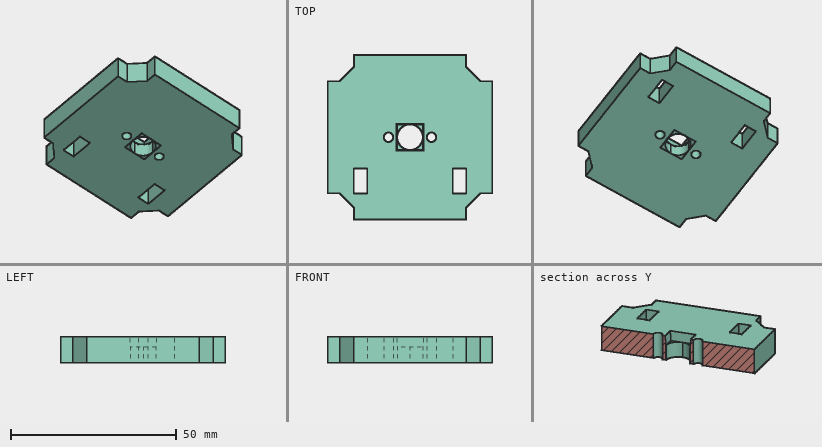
import cadquery as cq
import math

plate_size = 49.8
plate_height = 8.0
half_size = plate_size / 2
side_half_length = 17.0
notch_wall = 3.6
shoulder_end = half_size - notch_wall

pocket_depth = 3.1
pocket_top_side = 8.2
bore_diameter = 7.7
bore_radius = bore_diameter / 2
well_side = bore_diameter
ledge_height = plate_height - pocket_depth

screw_hole_diameter = 2.8
screw_hole_spacing = 13.0

slot_width = 4.0
slot_length = 7.5
slot_x = side_half_length - slot_width / 2
slot_y = -side_half_length + slot_length / 2


def make_plate_blank():
    """Square plate with a shouldered, chamfered notch at each corner."""
    corner = [
        (half_size, side_half_length),
        (shoulder_end, side_half_length),
        (side_half_length, shoulder_end),
        (side_half_length, half_size),
    ]
    outline = []
    for quarter in range(4):
        outline += corner
        corner = [(-y, x) for x, y in corner]
    return cq.Workplane("XY").polyline(outline).close().extrude(plate_height)


def make_center_opening():
    """Straight square well that widens through a tapered pocket at the top."""
    well = cq.Workplane("XY").rect(well_side, well_side).extrude(ledge_height)
    pocket = (
        cq.Workplane("XY", origin=(0, 0, ledge_height))
        .rect(well_side, well_side)
        .workplane(offset=pocket_depth)
        .rect(pocket_top_side, pocket_top_side)
        .loft(ruled=True)
    )
    return well.union(pocket)


def make_screw_holes():
    half_spacing = screw_hole_spacing / 2
    return (
        cq.Workplane("XY")
        .pushPoints([(-half_spacing, 0), (half_spacing, 0)])
        .circle(screw_hole_diameter / 2)
        .extrude(plate_height)
    )


def make_slots():
    return (
        cq.Workplane("XY")
        .pushPoints([(-slot_x, slot_y), (slot_x, slot_y)])
        .rect(slot_width, slot_length)
        .extrude(plate_height)
    )


def make_plate():
    plate = make_plate_blank()
    for cutter in (make_center_opening(), make_screw_holes(), make_slots()):
        plate = plate.cut(cutter)
    return plate


def make_corner_insert(angle):
    """Fills one corner of the square well, leaving a quarter of the round bore."""
    half_well = well_side / 2
    arc_middle = bore_radius * math.cos(math.pi / 4)
    return (
        cq.Workplane("XY")
        .moveTo(bore_radius, 0)
        .lineTo(half_well, half_well)
        .lineTo(0, bore_radius)
        .threePointArc((arc_middle, arc_middle), (bore_radius, 0))
        .close()
        .extrude(ledge_height)
        .rotate((0, 0, 0), (0, 0, 1), angle)
    )


plate = make_plate()
corner_inserts = [make_corner_insert(angle) for angle in (0, 90, 180, 270)]

result = cq.Compound.makeCompound([plate.val(), *[insert.val() for insert in corner_inserts]])